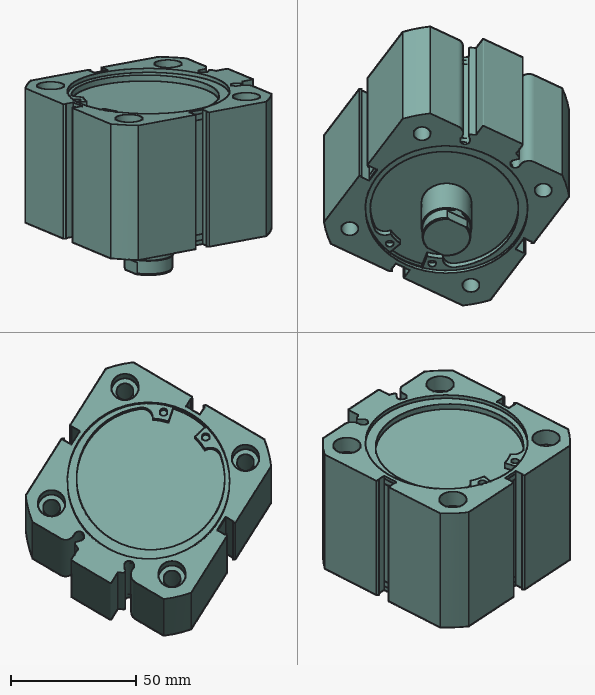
import cadquery as cq
import math


block_width = 77.5
half_width = block_width / 2
block_height = 56.0
corner_radius = 49.5

boss_width = 18.7
boss_projection = 5.5
boss_edge_radius = 0.3

relief_radius = 2.0
relief_x = 11.7
relief_y = 34.1
relief_shoulder_radius = 3.9
lip_angle = math.radians(25)
lip_tip_radius = 0.75

slot_width = 6.5
slot_mouth_width = 5.2
slot_depth = 4.65
slot_lip_thickness = 0.9
slot_chamfer = (slot_width - slot_mouth_width) / 2

bolt_offset = 28.2
bolt_hole_diameter = 6.8
counterbore_diameter = 10.95
counterbore_depth = 7.0

bore_radius = 32.45
slot_floor_wall = 0.25
groove_radius = half_width - slot_depth - slot_floor_wall
ring_thickness = 2.5
ring_inset = 1.7

ring_opening_radius = 29.6
ring_opening_offset = 1.7
ring_gap_half_angle = math.radians(13.6)
lug_inner_radius = 26.3
lug_tip_angle = math.radians(27.5)
lug_fillet_radius = 4.4
lug_hole_diameter = 3.1
lug_hole_distance = 29.5
lug_hole_angle = math.radians(19.6)

plate_thickness = 8.3
plate_inset = ring_inset + ring_thickness

rod_radius = 10.05
rod_projection = 18.0
rod_end_radius = 9.6
rod_end_length = 6.5
rod_step_chamfer = rod_radius - rod_end_radius
rod_tip_chamfer = 0.7
rod_tip_inset = 0.3
flat_distance = 8.5
flat_length = 5.1


def polar(radius, angle):
    """Point at an angle from -Y, turning towards +X."""
    return radius * math.sin(angle), -radius * math.cos(angle)


def mirrored(point):
    return -point[0], point[1]


def make_relief():
    """Cutter for the groove on the +X side of the boss."""
    wall_x = relief_x + relief_radius
    shoulder_y = half_width - relief_shoulder_radius
    diagonal = math.sqrt(0.5)
    shoulder_mid = (
        wall_x + relief_shoulder_radius * (1 - diagonal),
        shoulder_y + relief_shoulder_radius * diagonal,
    )
    tangent_x = relief_x - relief_radius * diagonal
    tangent_y = relief_y + relief_radius * diagonal
    lip_slope = math.tan(lip_angle)
    root_x = boss_width / 2
    tip_x = (half_width + lip_slope * root_x - tangent_y + tangent_x) / (1 + lip_slope)
    tip_y = tangent_y + tip_x - tangent_x
    cutter = (
        cq.Workplane("XY")
        .moveTo(wall_x + relief_shoulder_radius, half_width)
        .threePointArc(shoulder_mid, (wall_x, shoulder_y))
        .lineTo(wall_x, relief_y)
        .threePointArc((relief_x, relief_y - relief_radius), (tangent_x, tangent_y))
        .lineTo(tip_x, tip_y)
        .lineTo(root_x, half_width)
        .close()
        .extrude(block_height)
    )
    tip_edge = cq.selectors.NearestToPointSelector((tip_x, tip_y, block_height / 2))
    return cutter.edges(tip_edge).fillet(lip_tip_radius)


def make_slot():
    """Cutter for the sensor slot in the -Y side."""
    face_y = -half_width
    floor_y = face_y + slot_depth
    lip_y = face_y + slot_lip_thickness
    chamfer_y = face_y + slot_chamfer
    inner_x = slot_width / 2
    mouth_x = slot_mouth_width / 2
    half_outline = [
        (inner_x, face_y),
        (mouth_x, chamfer_y),
        (mouth_x, lip_y),
        (inner_x, lip_y),
        (inner_x, floor_y),
    ]
    other_half = [mirrored(point) for point in reversed(half_outline)]
    return cq.Workplane("XY").polyline(half_outline + other_half).close().extrude(block_height)


def make_housing():
    block = cq.Workplane("XY").rect(block_width, block_width).extrude(block_height)
    body = block.intersect(cq.Workplane("XY").circle(corner_radius).extrude(block_height))

    boss_length = half_width + boss_projection - bore_radius
    boss = (
        cq.Workplane("XY")
        .center(0, bore_radius + boss_length / 2)
        .rect(boss_width, boss_length)
        .extrude(block_height)
        .edges("|Z and >Y")
        .fillet(boss_edge_radius)
    )
    body = body.union(boss)

    relief = make_relief()
    body = body.cut(relief).cut(relief.mirror("YZ"))

    slot = make_slot()
    for angle in (-90, 0, 90):
        body = body.cut(slot.rotate((0, 0, 0), (0, 0, 1), angle))

    body = (
        body.faces(">Z")
        .workplane(origin=(0, 0, block_height))
        .rect(2 * bolt_offset, 2 * bolt_offset, forConstruction=True)
        .vertices()
        .cboreHole(bolt_hole_diameter, counterbore_diameter, counterbore_depth)
    )

    body = body.cut(cq.Workplane("XY").circle(bore_radius).extrude(block_height))
    groove = cq.Workplane("XY").circle(groove_radius).extrude(ring_thickness)
    for bottom in (ring_inset, block_height - ring_inset - ring_thickness):
        body = body.cut(groove.translate((0, 0, bottom)))
    return body


def make_ring(bottom):
    """Open retaining ring with a pair of pierced lugs beside its gap at -Y."""
    gap_outer = polar(groove_radius, ring_gap_half_angle)
    gap_inner = polar(lug_inner_radius, ring_gap_half_angle)
    lug_tip = polar(lug_inner_radius, lug_tip_angle)
    lug_mid = polar(lug_inner_radius, (ring_gap_half_angle + lug_tip_angle) / 2)

    opening_y = -ring_opening_offset
    centre_distance = ring_opening_radius - lug_fillet_radius
    tip_distance = math.hypot(lug_tip[0], lug_tip[1] - opening_y)
    tip_angle = math.atan2(lug_tip[0], opening_y - lug_tip[1])
    cosine = (centre_distance**2 + tip_distance**2 - lug_fillet_radius**2) / (
        2 * centre_distance * tip_distance
    )
    fillet_angle = tip_angle + math.acos(cosine)
    fillet_x, fillet_y = polar(centre_distance, fillet_angle)
    fillet_y += opening_y
    touch_x, touch_y = polar(ring_opening_radius, fillet_angle)
    opening_touch = (touch_x, touch_y + opening_y)
    fillet_bottom = (fillet_x, fillet_y - lug_fillet_radius)

    ring = (
        cq.Workplane("XY")
        .moveTo(*gap_outer)
        .threePointArc((0, groove_radius), mirrored(gap_outer))
        .lineTo(*mirrored(gap_inner))
        .threePointArc(mirrored(lug_mid), mirrored(lug_tip))
        .threePointArc(mirrored(fillet_bottom), mirrored(opening_touch))
        .threePointArc((0, ring_opening_radius + opening_y), opening_touch)
        .threePointArc(fillet_bottom, lug_tip)
        .threePointArc(lug_mid, gap_inner)
        .close()
        .extrude(ring_thickness)
    )
    lug_hole = polar(lug_hole_distance, lug_hole_angle)
    holes = (
        cq.Workplane("XY")
        .pushPoints([lug_hole, mirrored(lug_hole)])
        .circle(lug_hole_diameter / 2)
        .extrude(ring_thickness)
    )
    return ring.cut(holes).translate((0, 0, bottom))


def make_head_plate():
    top = block_height - plate_inset
    return cq.Workplane("XY", origin=(0, 0, top)).circle(bore_radius).extrude(-plate_thickness)


def make_rod_cover():
    base = cq.Workplane("XY", origin=(0, 0, plate_inset))
    return base.circle(bore_radius).circle(rod_radius).extrude(plate_thickness)


def make_rod():
    """Stepped rod running from its free end up to the head plate."""
    tip_z = -rod_projection
    step_z = tip_z + rod_end_length
    top_z = block_height - plate_inset - plate_thickness
    rod = (
        cq.Workplane("XZ")
        .moveTo(0, tip_z)
        .lineTo(rod_end_radius - rod_tip_inset, tip_z)
        .lineTo(rod_end_radius, tip_z + rod_tip_chamfer)
        .lineTo(rod_end_radius, step_z - rod_step_chamfer)
        .lineTo(rod_radius, step_z)
        .lineTo(rod_radius, top_z)
        .lineTo(0, top_z)
        .close()
        .revolve(360, (0, 0, 0), (0, 1, 0))
    )
    cut_depth = rod_radius
    flat_top = tip_z + flat_length
    flat_cutter = (
        cq.Workplane("YZ")
        .moveTo(flat_distance, tip_z)
        .lineTo(flat_distance, flat_top)
        .lineTo(flat_distance + cut_depth, flat_top + cut_depth)
        .lineTo(flat_distance + cut_depth, tip_z)
        .close()
        .extrude(rod_radius, both=True)
    )
    return rod.cut(flat_cutter).cut(flat_cutter.mirror("XZ"))


housing = make_housing()
head_plate = make_head_plate()
rod_cover = make_rod_cover()
rod = make_rod()
rings = [make_ring(bottom) for bottom in (ring_inset, block_height - ring_inset - ring_thickness)]

result = cq.Compound.makeCompound(
    [
        housing.val(),
        head_plate.val(),
        rod_cover.val(),
        rod.val(),
        *[ring.val() for ring in rings],
    ]
)